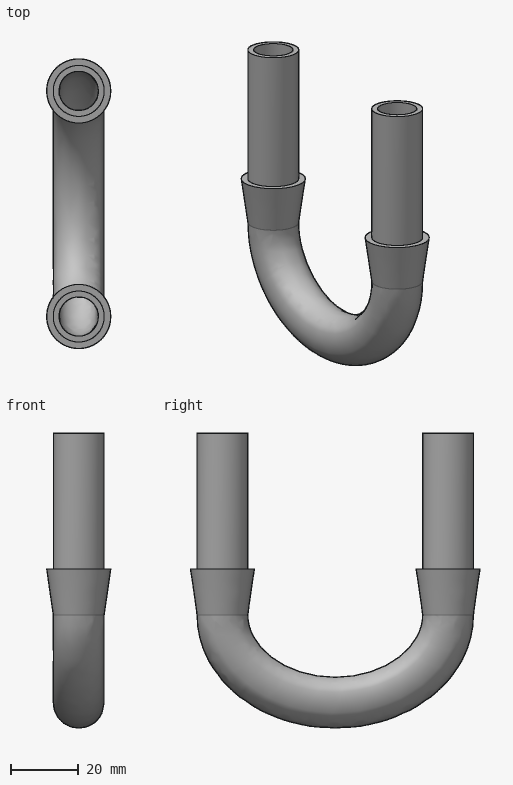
import cadquery as cq

total_height = 87.0
total_length = 85.5
tube_diameter = 15.05
bore_diameter = 11.6
collar_diameter = 19.0
stem_length = 40.0
collar_height = 13.6

leg_offset = (total_length - collar_diameter) / 2
shoulder_z = total_height - stem_length
bend_top_z = shoulder_z - collar_height
bend_depth = bend_top_z - tube_diameter / 2


def bend(diameter):
    """Round bar following the lower half of an ellipse between the two legs."""
    path = (
        cq.Workplane("YZ", origin=(0, 0, bend_top_z))
        .ellipseArc(leg_offset, bend_depth, 180, 360, startAtCurrent=False)
    )
    start = cq.Workplane("XY", origin=(0, -leg_offset, bend_top_z))
    return start.circle(diameter / 2).sweep(path)


def leg(side, diameter):
    """Straight round bar from the end of the bend to the top."""
    start = cq.Workplane("XY", origin=(0, side * leg_offset, bend_top_z))
    return start.circle(diameter / 2).extrude(total_height - bend_top_z)


def collar(side):
    """Cone widening upward from the tube surface to a flat shoulder."""
    profile = (
        cq.Workplane("XZ", origin=(0, side * leg_offset, bend_top_z))
        .polyline([
            (0, 0),
            (tube_diameter / 2, 0),
            (collar_diameter / 2, collar_height),
            (0, collar_height),
        ])
        .close()
    )
    return profile.revolve(360, (0, 0, 0), (0, 1, 0))


result = bend(tube_diameter)
for side in (-1, 1):
    result = result.union(leg(side, tube_diameter)).union(collar(side))

result = result.cut(bend(bore_diameter))
for side in (-1, 1):
    result = result.cut(leg(side, bore_diameter))